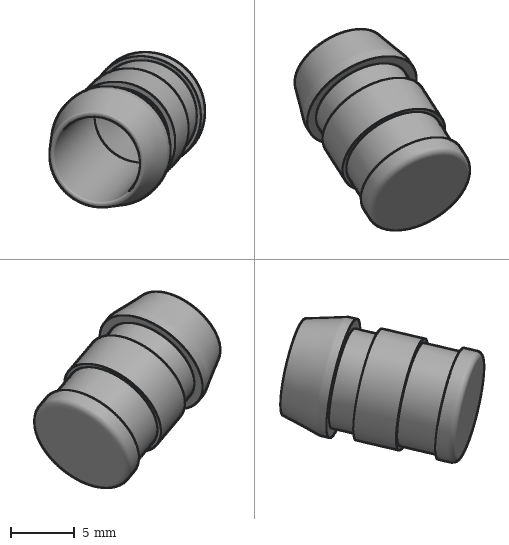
import cadquery as cq
import math

length = 14.35

flange_radius = 4.785
collar_radius = 4.495
front_neck_radius = 4.02
rear_neck_radius = 4.16

taper_end = 3.314
flange_end = 4.05
middle_collar_start = 6.15
middle_collar_end = 9.63
rear_collar_start = 12.82

taper_angle = math.radians(15)
nose_radius = flange_radius - taper_end * math.tan(taper_angle)

lip_round = 0.2
taper_round = 0.5
end_round = 0.5

bore_radius = 3.5
bore_depth = 10.5
cone_angle = math.radians(120)
bore_tip_depth = bore_depth + bore_radius / math.tan(cone_angle / 2)

match_tolerance = 0.01


def revolve_about_y(outline):
    """Turn a closed outline of (radius, Y) points about the Y axis."""
    profile = cq.Workplane("XY").polyline(outline).close()
    return profile.revolve(360, (0, 0, 0), (0, 1, 0))


def round_circle(body, radius, y, size):
    """Round the circular edge that has the given radius and lies at the given Y."""
    edges = []
    for edge in body.edges("%CIRCLE").vals():
        same_radius = abs(edge.radius() - radius) < match_tolerance
        same_station = abs(edge.arcCenter().y - y) < match_tolerance
        if same_radius and same_station:
            edges.append(edge)
    return body.newObject(edges).fillet(size)


def make_body():
    return revolve_about_y([
        (0, 0),
        (nose_radius, 0),
        (flange_radius, taper_end),
        (flange_radius, flange_end),
        (front_neck_radius, flange_end),
        (front_neck_radius, middle_collar_start),
        (collar_radius, middle_collar_start),
        (collar_radius, middle_collar_end),
        (rear_neck_radius, middle_collar_end),
        (rear_neck_radius, rear_collar_start),
        (collar_radius, rear_collar_start),
        (collar_radius, length),
        (0, length),
    ])


def make_bore():
    return revolve_about_y([
        (0, 0),
        (bore_radius, 0),
        (bore_radius, bore_depth),
        (0, bore_tip_depth),
    ])


result = make_body().cut(make_bore())
result = round_circle(result, bore_radius, 0, lip_round)
result = round_circle(result, nose_radius, 0, lip_round)
result = round_circle(result, flange_radius, taper_end, taper_round)
result = round_circle(result, collar_radius, length, end_round)